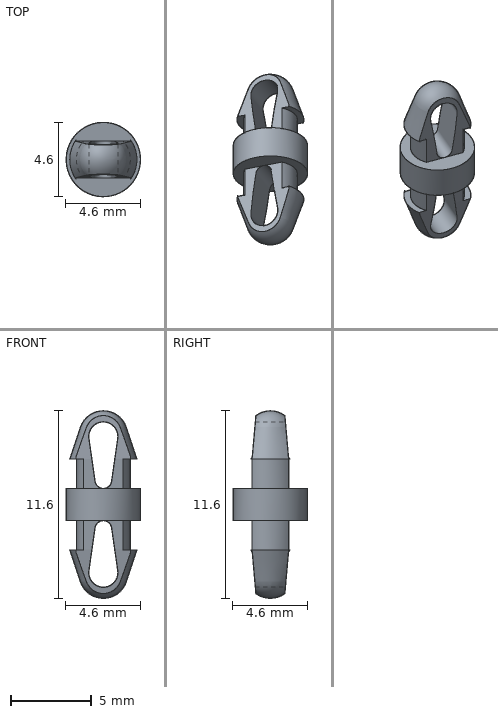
import cadquery as cq
import math

total_height = 11.6
collar_diameter = 4.6
collar_height = 2.0

stem_radius = 1.67
flat_half_width = 1.14
flat_cut_half_length = 1.69

head_base_z = 2.81
head_base_radius = 2.08
dome_radius = 1.5
flat_taper_deg = 5.0

slot_wide_radius = 0.89
slot_narrow_radius = 0.51
slot_top_wall = 0.7

tip_z = total_height / 2
collar_top_z = collar_height / 2
dome_center_z = tip_z - dome_radius


def cut_flats(solid, base_z, taper_deg):
    """Cut two Y flats that lean inwards above base_z.

    Each cut is limited in X, so the widest part of a barb keeps small pointed corners beyond it.
    """
    height = tip_z - base_z
    top_half_width = flat_half_width - height * math.tan(math.radians(taper_deg))
    slab = (
        cq.Workplane("YZ")
        .moveTo(-flat_half_width, base_z)
        .lineTo(flat_half_width, base_z)
        .lineTo(top_half_width, tip_z)
        .lineTo(-top_half_width, tip_z)
        .close()
        .extrude(flat_cut_half_length, both=True)
    )
    removed = (
        cq.Workplane("XY", origin=(0, 0, base_z))
        .rect(2 * flat_cut_half_length, collar_diameter)
        .extrude(height)
        .cut(slab)
    )
    return solid.cut(removed)


def make_stem():
    stem = cq.Workplane("XY").circle(stem_radius).extrude(head_base_z)
    return cut_flats(stem, 0, 0)


def make_head():
    drop = dome_center_z - head_base_z
    tangent_angle = math.acos(dome_radius / math.hypot(head_base_radius, drop)) - math.atan2(
        drop, head_base_radius
    )
    arc_middle_angle = (tangent_angle + math.pi / 2) / 2

    def dome_point(angle):
        return dome_radius * math.cos(angle), dome_center_z + dome_radius * math.sin(angle)

    head = (
        cq.Workplane("XZ")
        .moveTo(0, head_base_z)
        .lineTo(head_base_radius, head_base_z)
        .lineTo(*dome_point(tangent_angle))
        .threePointArc(dome_point(arc_middle_angle), (0, tip_z))
        .close()
        .revolve(360, (0, 0, 0), (0, 1, 0))
    )
    return cut_flats(head, head_base_z, flat_taper_deg)


def make_slot():
    """Two circles of different size joined by their common tangents."""
    wide_z = tip_z - slot_top_wall - slot_wide_radius
    narrow_z = collar_top_z + slot_narrow_radius
    tangent_angle = -math.asin((slot_wide_radius - slot_narrow_radius) / (wide_z - narrow_z))
    normal_x = math.cos(tangent_angle)
    normal_z = math.sin(tangent_angle)
    wide_x = slot_wide_radius * normal_x
    wide_tangent_z = wide_z + slot_wide_radius * normal_z
    narrow_x = slot_narrow_radius * normal_x
    narrow_tangent_z = narrow_z + slot_narrow_radius * normal_z
    return (
        cq.Workplane("XZ")
        .moveTo(narrow_x, narrow_tangent_z)
        .lineTo(wide_x, wide_tangent_z)
        .threePointArc((0, wide_z + slot_wide_radius), (-wide_x, wide_tangent_z))
        .lineTo(-narrow_x, narrow_tangent_z)
        .threePointArc((0, collar_top_z), (narrow_x, narrow_tangent_z))
        .close()
        .extrude(collar_diameter / 2, both=True)
    )


collar = (
    cq.Workplane("XY", origin=(0, 0, -collar_top_z))
    .circle(collar_diameter / 2)
    .extrude(collar_height)
)
upper_clip = make_stem().union(make_head()).cut(make_slot())
lower_clip = upper_clip.mirror("XY")

result = collar.union(upper_clip).union(lower_clip)